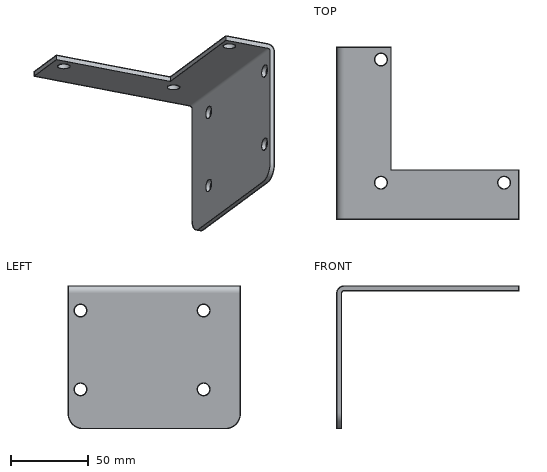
import cadquery as cq

length = 117.5
width = 111.1
height = 92.1
thickness = 3.2

inner_bend_radius = 1.6
outer_bend_radius = inner_bend_radius + thickness

side_leg_width = 35.1
front_leg_width = 32.0

corner_radius = 9.8

hole_diameter = 8.0
hole_spacing = 79.4
back_hole_inset = 8.0
back_hole_y = width - back_hole_inset
front_hole_y = back_hole_y - hole_spacing
top_hole_x = 28.5
upper_hole_drop = 15.9
upright_row_spacing = 50.9
upper_hole_z = height - upper_hole_drop
lower_hole_z = upper_hole_z - upright_row_spacing


def bent_sheet():
    """Full-width angle with its bend along Y, at the top of the upright flange."""
    angle = (
        cq.Workplane("XZ")
        .polyline(
            [
                (0, 0),
                (thickness, 0),
                (thickness, height - thickness),
                (length, height - thickness),
                (length, height),
                (0, height),
            ]
        )
        .close()
        .extrude(-width)
    )
    angle = angle.edges("|Y and <X and >Z").fillet(outer_bend_radius)
    inner_corner = cq.selectors.NearestToPointSelector((thickness, width / 2, height - thickness))
    return angle.edges(inner_corner).fillet(inner_bend_radius)


def top_notch():
    """Block removed from the top flange to leave its L shape."""
    return cq.Workplane("XY").box(
        length - side_leg_width, width - front_leg_width, height, centered=False
    ).translate((side_leg_width, front_leg_width, 0))


def top_holes():
    """Vertical hole cutters at the corner and both ends of the L."""
    centers = [
        (top_hole_x, front_hole_y),
        (top_hole_x, back_hole_y),
        (top_hole_x + hole_spacing, front_hole_y),
    ]
    top_flange = cq.Workplane("XY", origin=(0, 0, height - thickness))
    return top_flange.pushPoints(centers).circle(hole_diameter / 2).extrude(thickness)


def upright_holes():
    """Horizontal hole cutters through the upright flange."""
    centers = [(y, z) for y in (front_hole_y, back_hole_y) for z in (lower_hole_z, upper_hole_z)]
    return cq.Workplane("YZ").pushPoints(centers).circle(hole_diameter / 2).extrude(thickness)


bracket = bent_sheet().cut(top_notch())
bracket = bracket.faces("<Z").edges("|X").fillet(corner_radius)
result = bracket.cut(top_holes()).cut(upright_holes())